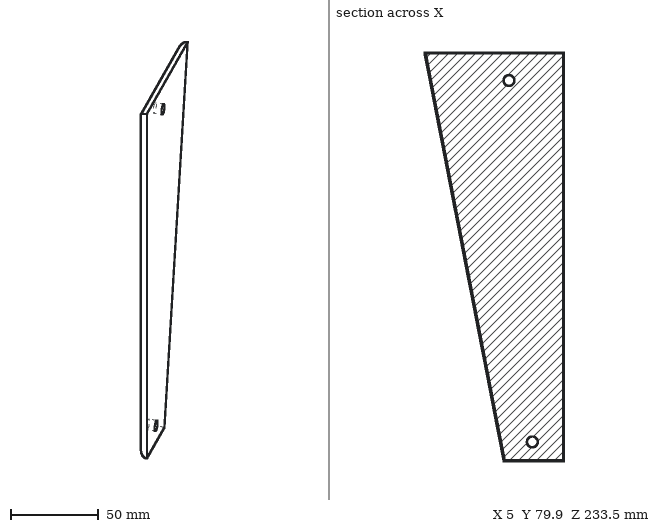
import cadquery as cq
import math

thickness = 5.0
height = 233.5
top_width = 79.9
bottom_width = 34.5
hole_diameter = 6.0

hole_centres = [(18.2, 11.2), (31.5, 217.4)]

outline = [(0, 0), (bottom_width, 0), (top_width, height), (0, height)]


def rounded_side_slab(start, end):
    """Oversized slab whose one side lies on an outline edge, quarter-rounded toward -X."""
    reach = 2 * height
    along_y = end[0] - start[0]
    along_z = end[1] - start[1]
    length = math.hypot(along_y, along_z)
    plane = cq.Plane(
        origin=(0, (start[0] + end[0]) / 2, (start[1] + end[1]) / 2),
        xDir=(1, 0, 0),
        normal=(0, -along_y / length, -along_z / length),
    )
    arc_middle = thickness * (1 - math.sqrt(0.5))
    return (
        cq.Workplane(plane)
        .moveTo(thickness, 0)
        .threePointArc((arc_middle, arc_middle), (0, thickness))
        .lineTo(0, reach)
        .lineTo(thickness, reach)
        .close()
        .extrude(reach, both=True)
    )


plate = cq.Workplane("YZ").polyline(outline).close().extrude(thickness)
for index, corner in enumerate(outline):
    next_corner = outline[(index + 1) % len(outline)]
    plate = plate.intersect(rounded_side_slab(corner, next_corner))

holes = cq.Workplane("YZ").pushPoints(hole_centres).circle(hole_diameter / 2).extrude(thickness)

result = plate.cut(holes)